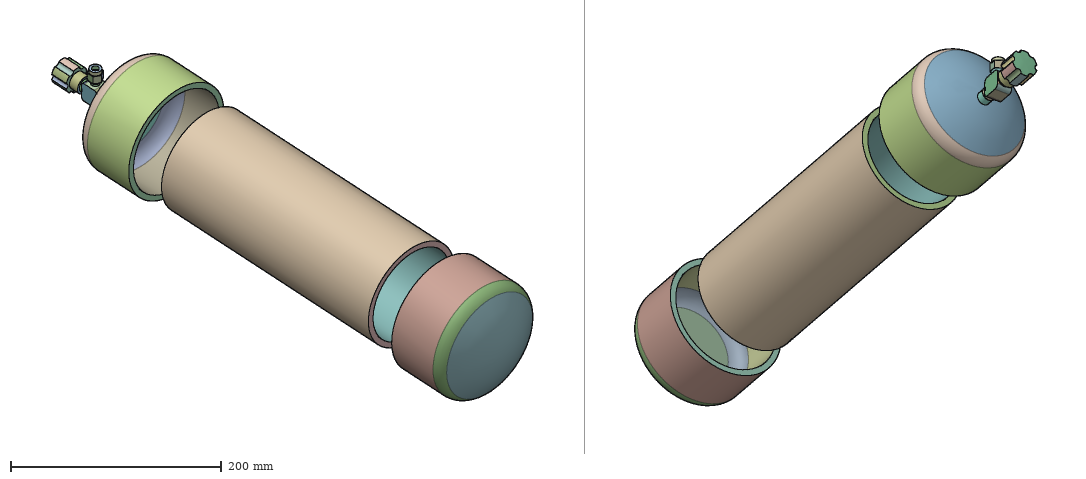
import cadquery as cq
import math

total_length = 602.5
cap_diameter = 127.0
cap_bore_diameter = 114.5
tube_bore_diameter = 102.0
cap_length = 88.0
crown_radius = 94.0
knuckle_radius = 15.5
bore_end = 41.5
floor_radius = 14.0
cap_gap = 38.0

valve_apex_gap = 70.5
valve_y = 2.5
valve_z = -6.5
knob_diameter = 28.5
knob_length = 21.0
knob_face_rise = 1.0
flute_count = 6
flute_diameter = 6.5
flute_circle_radius = 15.0
collar_diameter = 19.0
collar_end = 32.0
block_start = 35.5
block_size = 21.5
block_width = 16.0
block_corner_radius = 4.0
stem_diameter = 14.5
stem_end = 62.5
spigot_diameter = 14.0

port_neck_diameter = 9.0
port_nut_flats = 14.0
port_taper_base = 13.0
port_nut_base = 16.0
port_nut_top = 25.5
port_top = 29.5
port_rim_diameter = 12.5
port_bore_diameter = 7.0
port_bore_depth = 4.0

front_rim_x = valve_apex_gap + cap_length
rear_rim_x = total_length - cap_length
tube_start = front_rim_x + cap_gap
tube_length = rear_rim_x - cap_gap - tube_start
block_center_x = block_start + block_size / 2


def x_cylinder(start, end, diameter):
    """Cylinder on the valve axis between two X positions."""
    return (cq.Workplane("YZ", origin=(start, valve_y, valve_z))
            .circle(diameter / 2).extrude(end - start))


def z_cylinder(bottom, top, diameter):
    """Cylinder on the side port axis between two heights above the valve axis."""
    return (cq.Workplane("XY", origin=(block_center_x, valve_y, valve_z + bottom))
            .circle(diameter / 2).extrude(top - bottom))


def domed_blank():
    """Solid cap with its apex at the origin and its flat rim at X = cap_length."""
    radius = cap_diameter / 2
    knuckle_center_r = radius - knuckle_radius
    center_spacing = math.sqrt((crown_radius - knuckle_radius) ** 2 - knuckle_center_r ** 2)
    knuckle_center_x = crown_radius - center_spacing
    joint_angle = math.atan2(knuckle_center_r, center_spacing)

    def crown_point(angle):
        return (crown_radius * (1 - math.cos(angle)), crown_radius * math.sin(angle))

    middle_angle = (joint_angle + math.pi / 2) / 2
    knuckle_middle = (knuckle_center_x - knuckle_radius * math.cos(middle_angle),
                      knuckle_center_r + knuckle_radius * math.sin(middle_angle))
    return (cq.Workplane("XY")
            .threePointArc(crown_point(joint_angle / 2), crown_point(joint_angle))
            .threePointArc(knuckle_middle, (knuckle_center_x, radius))
            .lineTo(cap_length, radius)
            .lineTo(cap_length, 0)
            .close()
            .revolve(360, (0, 0, 0), (1, 0, 0)))


def cap_cavity():
    """Inside of a cap: straight bore with a flat floor and a rounded corner."""
    floor_x = bore_end - floor_radius
    return (cq.Workplane("YZ", origin=(floor_x, 0, 0))
            .circle(cap_bore_diameter / 2)
            .extrude(cap_length - floor_x)
            .faces("<X").edges().fillet(floor_radius))


def make_cap():
    """Hollow domed cap with its apex at the origin, opening toward +X."""
    return domed_blank().cut(cap_cavity())


def make_front_cap():
    """Cap with a hole for the valve spigot."""
    hole = x_cylinder(stem_end, front_rim_x, spigot_diameter)
    return make_cap().translate((valve_apex_gap, 0, 0)).cut(hole)


def make_rear_cap():
    """Plain cap facing the other way."""
    return make_cap().rotate((0, 0, 0), (0, 0, 1), 180).translate((total_length, 0, 0))


def make_tube():
    return (cq.Workplane("YZ", origin=(tube_start, 0, 0))
            .circle(cap_bore_diameter / 2)
            .circle(tube_bore_diameter / 2)
            .extrude(tube_length))


def make_knob():
    """Fluted hand knob with a slightly domed face."""
    radius = knob_diameter / 2
    face_radius = (radius ** 2 + knob_face_rise ** 2) / (2 * knob_face_rise)
    middle_r = radius / 2
    middle_x = face_radius - math.sqrt(face_radius ** 2 - middle_r ** 2)
    knob = (cq.Workplane("XY")
            .threePointArc((middle_x, middle_r), (knob_face_rise, radius))
            .lineTo(knob_length, radius)
            .lineTo(knob_length, 0)
            .close()
            .revolve(360, (0, 0, 0), (1, 0, 0))
            .translate((0, valve_y, valve_z)))
    flutes = (cq.Workplane("YZ", origin=(0, valve_y, valve_z))
              .polarArray(flute_circle_radius, 0, 360, flute_count)
              .circle(flute_diameter / 2)
              .extrude(knob_length))
    return knob.cut(flutes)


def make_block():
    """Valve block with its four edges along Y rounded."""
    return (cq.Workplane("XY")
            .box(block_size, block_width, block_size)
            .edges("|Y").fillet(block_corner_radius)
            .translate((block_center_x, valve_y, valve_z)))


def make_port():
    """Side port: neck, cone, hexagonal nut with corners along X, and a bored rim."""
    nut_across_corners = port_nut_flats / math.cos(math.pi / 6)
    nut = (cq.Workplane("XY", origin=(block_center_x, valve_y, valve_z + port_nut_base))
           .polygon(6, nut_across_corners)
           .extrude(port_nut_top - port_nut_base))
    neck = z_cylinder(0, port_nut_base, port_neck_diameter)
    taper = (cq.Workplane("XY", origin=(block_center_x, valve_y, valve_z + port_taper_base))
             .circle(port_neck_diameter / 2)
             .workplane(offset=port_nut_base - port_taper_base)
             .circle(port_nut_flats / 2)
             .loft())
    rim = z_cylinder(port_nut_top, port_top, port_rim_diameter)
    bore = z_cylinder(port_top - port_bore_depth, port_top, port_bore_diameter)
    return neck.union(taper).union(nut).union(rim).cut(bore)


def make_valve():
    collar = x_cylinder(knob_length, collar_end, collar_diameter)
    stem = x_cylinder(collar_end, stem_end, stem_diameter)
    spigot = x_cylinder(stem_end, front_rim_x, spigot_diameter)
    spigot = spigot.cut(cap_cavity().translate((valve_apex_gap, 0, 0)))
    valve = make_knob()
    for piece in (collar, stem, make_block(), make_port(), spigot):
        valve = valve.union(piece)
    return valve


front_cap = make_front_cap()
rear_cap = make_rear_cap()
tube = make_tube()
valve = make_valve()

result = cq.Compound.makeCompound([body.solids().val() for body in (front_cap, rear_cap, tube, valve)])